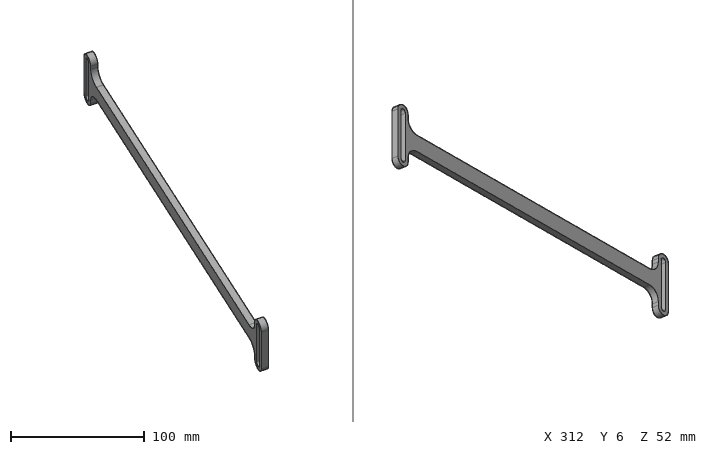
import cadquery as cq


length = 312.0
thickness = 6.0
head_height = 52.0
head_width = 12.0
wall = 3.5
bar_height = 14.0
fillet_radius = 10.0

head_center = (length - head_width) / 2
slot_width = head_width - 2 * wall
slot_height = head_height - 2 * wall


def upright_slots(height, width):
    """Round-ended upright prisms, one centred on each head."""
    return (
        cq.Workplane("XZ")
        .pushPoints([(-head_center, 0), (head_center, 0)])
        .slot2D(height, width, 90)
        .extrude(thickness / 2, both=True)
    )


def make_bar():
    """Straight bar reaching the centre line of both heads."""
    return cq.Workplane("XY").box(2 * head_center, thickness, bar_height)


def blend_corners(body):
    """Round the four inside corners where the bar meets the heads."""
    corner_x = head_center - head_width / 2
    corner_z = bar_height / 2
    corners = [(x, 0, z) for x in (-corner_x, corner_x) for z in (-corner_z, corner_z)]
    for corner in corners:
        edge = cq.selectors.NearestToPointSelector(corner)
        body = body.edges("|Y").edges(edge).fillet(fillet_radius)
    return body


blank = blend_corners(make_bar().union(upright_slots(head_height, head_width)))
result = blank.cut(upright_slots(slot_height, slot_width))